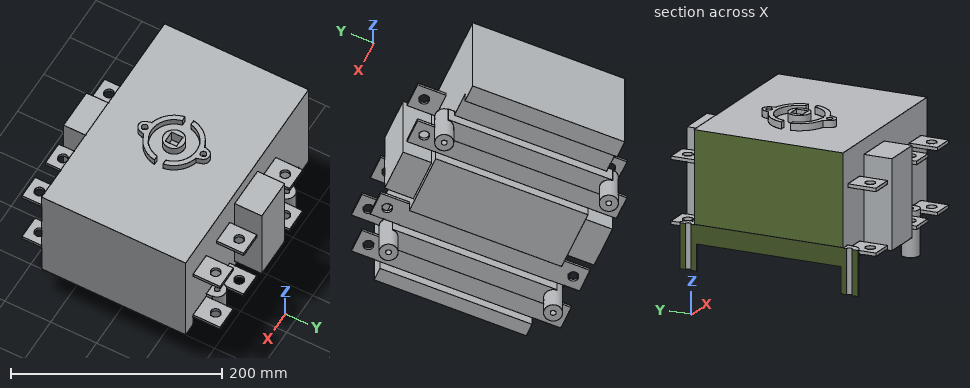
import cadquery as cq
import math

housing_length = 235.0
housing_width = 157.0
housing_height = 114.5
overall_width = 216.0
axis_x = 2.0

tab_width = 25.1
tab_thickness = 3.5
tab_hole_diameter = 10.0
tab_hole_y = 95.9
lower_tab_z = 12.0
upper_tab_z = 76.8
inner_tab_offset = 44.0
outer_tab_offset = 88.8
tab_offsets = (-inner_tab_offset, inner_tab_offset, outer_tab_offset)
channel_width = outer_tab_offset - inner_tab_offset + tab_width

block_width = 43.7
block_bottom = 7.0
block_top = 99.2

rail_offset = (inner_tab_offset + outer_tab_offset) / 2
rail_size = 19.3
post_diameter = 18.0
post_hole_diameter = 5.5
post_y = 84.8
post_drop = 27.3
post_height = post_drop + rail_size

ring_outer_radius = 29.5
ring_inner_radius = 24.5
ring_height = 7.0
ring_gap = 9.5
lug_y = 32.0
lug_radius = 6.5
lug_hole_diameter = 6.0
lug_flare = math.radians(17)

hub_diameter = 22.0
hub_height = 9.0
socket_size = 12.2
socket_depth = 12.2


def box_between(x_size, y_size, bottom, top, x):
    """Box centred on (x, 0) that reaches from Z = bottom to Z = top."""
    box = cq.Workplane("XY").box(x_size, y_size, top - bottom, centered=(True, True, False))
    return box.translate((x, 0, bottom))


def make_tab_pair(x, z):
    """Flat bar across the housing whose two drilled ends form opposite terminals."""
    bar = box_between(tab_width, overall_width, z, z + tab_thickness, x)
    holes = (
        cq.Workplane("XY", origin=(x, 0, z))
        .pushPoints([(0, -tab_hole_y), (0, tab_hole_y)])
        .circle(tab_hole_diameter / 2)
        .extrude(tab_thickness)
    )
    return bar.cut(holes)


def make_lug():
    """Rounded lug on the +Y side of the ring, flaring along tangent sides to the ring."""
    tangent_x = lug_radius * math.cos(lug_flare)
    tangent_y = lug_y + lug_radius * math.sin(lug_flare)
    foot_y = (ring_inner_radius + ring_outer_radius) / 2
    foot_x = tangent_x + (tangent_y - foot_y) * math.tan(lug_flare)
    return (
        cq.Workplane("XY")
        .moveTo(-foot_x, foot_y)
        .lineTo(-tangent_x, tangent_y)
        .threePointArc((0, lug_y + lug_radius), (tangent_x, tangent_y))
        .lineTo(foot_x, foot_y)
        .close()
        .extrude(ring_height)
    )


def make_split_ring():
    """Ring with a lug at each Y end, split along the X axis, standing on Z = 0."""
    ring = (
        cq.Workplane("XY")
        .circle(ring_outer_radius)
        .circle(ring_inner_radius)
        .extrude(ring_height)
    )
    lug = make_lug()
    ring = ring.union(lug).union(lug.mirror("XZ"))
    lug_holes = (
        cq.Workplane("XY")
        .pushPoints([(0, -lug_y), (0, lug_y)])
        .circle(lug_hole_diameter / 2)
        .extrude(ring_height)
    )
    gap = box_between(2 * ring_outer_radius, ring_gap, 0, ring_height, 0)
    return ring.cut(lug_holes).cut(gap)


def make_housing():
    """Housing with its block, terminals, ring and hub, and the recesses for the rails."""
    housing = box_between(housing_length, housing_width, 0, housing_height, 0)
    for side in (-1, 1):
        rail_x = axis_x + side * rail_offset
        housing = housing.cut(box_between(channel_width, housing_width, 0, lower_tab_z, rail_x))

    housing = housing.union(box_between(block_width, overall_width, block_bottom, block_top, axis_x))
    for offset in tab_offsets:
        for z in (lower_tab_z, upper_tab_z):
            housing = housing.union(make_tab_pair(axis_x + offset, z))

    housing = housing.union(make_split_ring().translate((axis_x, 0, housing_height)))
    hub = cq.Workplane("XY", origin=(axis_x, 0, housing_height)).circle(hub_diameter / 2).extrude(hub_height)
    hub_top = housing_height + hub_height
    socket = box_between(socket_size, socket_size, hub_top - socket_depth, hub_top, axis_x)
    housing = housing.union(hub).cut(socket)

    for side in (-1, 1):
        housing = housing.cut(make_rail(axis_x + side * rail_offset, drilled=False))
    return housing


def make_rail(x, drilled=True):
    """Mounting rail along Y at the given X; undrilled, it is the shape of its recess."""
    rail = box_between(rail_size, 2 * post_y, 0, rail_size, x)
    post_centres = cq.Workplane("XY", origin=(x, 0, -post_drop)).pushPoints([(0, -post_y), (0, post_y)])
    rail = rail.union(post_centres.circle(post_diameter / 2).extrude(post_height))
    if drilled:
        rail = rail.cut(post_centres.circle(post_hole_diameter / 2).extrude(post_height))
    return rail


housing = make_housing()
rails = [make_rail(axis_x + side * rail_offset) for side in (-1, 1)]

result = cq.Compound.makeCompound([housing.solids().val(), *[rail.solids().val() for rail in rails]])